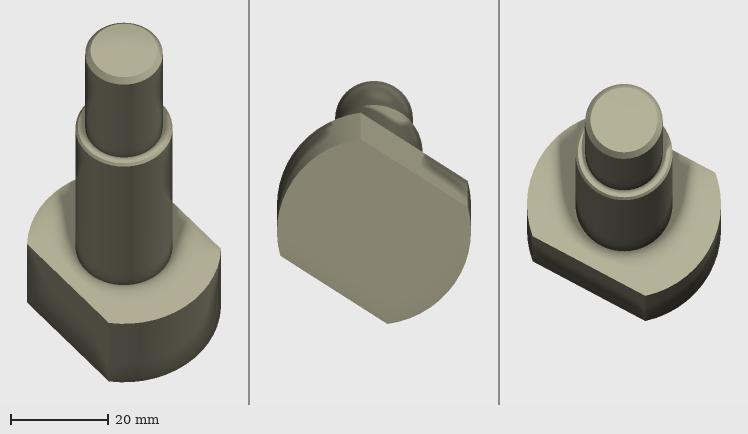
import cadquery as cq

head_diameter = 40.0
head_width_across_flats = 30.0
head_height = 20.0

shank_diameter = 20.0
shank_length = 41.0
shank_chamfer = 0.5

pin_diameter = 16.0
pin_length = 26.0
pin_chamfer = 1.1


def make_head():
    """Disc standing on Z = 0, trimmed to its width across flats."""
    disc = cq.Workplane("XY").circle(head_diameter / 2).extrude(head_height)
    flats_envelope = cq.Workplane("XY").rect(head_diameter, head_width_across_flats).extrude(head_height)
    return disc.intersect(flats_envelope)


def make_chamfered_cylinder(diameter, length, base_height, chamfer):
    """Upright cylinder with its top rim chamfered."""
    cylinder = cq.Workplane("XY").workplane(offset=base_height).circle(diameter / 2).extrude(length)
    return cylinder.faces(">Z").edges().chamfer(chamfer)


shank = make_chamfered_cylinder(shank_diameter, shank_length, head_height, shank_chamfer)
pin = make_chamfered_cylinder(pin_diameter, pin_length, head_height + shank_length, pin_chamfer)

result = make_head().union(shank).union(pin)